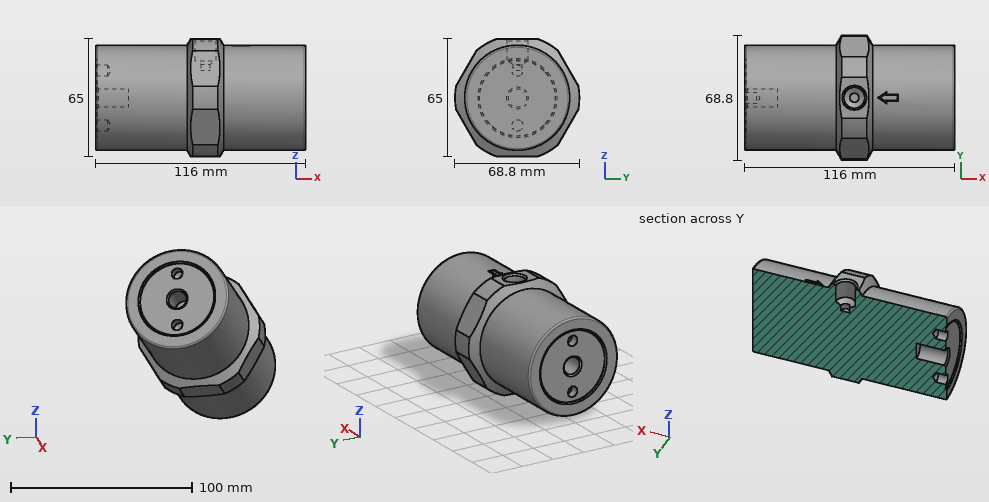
import cadquery as cq
import math

body_length = 116
body_diameter = 58
rim_fillet = 1.0
left_end = -body_length / 2
body_radius = body_diameter / 2

collar_center = 2.5
collar_width = 20.2
collar_diameter = 68.8
hex_across_flats = 65
hex_across_corners = hex_across_flats / math.cos(math.radians(30))
collar_cone_angle = 30

plug_diameter = 41.8
recess_depth = 0.7
recess_chamfer = 0.8
plug_gap = 0.2
plug_face = left_end + recess_depth

center_hole_diameter = 10.1
center_hole_depth = 17.4
center_hole_chamfer = 0.9
pin_hole_diameter = 6.1
pin_hole_depth = 5.8
pin_hole_offset = 15.1
drill_point_angle = 118

port_diameter = 11.5
port_depth = 12.0
port_chamfer = 1.0
port_bore_diameter = 5.0
port_bore_depth = 3.5

arrow_tip = 15.5
arrow_length = 11.3
arrow_head_length = 4.9
arrow_head_half_width = 3.2
arrow_shaft_half_width = 1.9
arrow_line_width = 0.6
arrow_depth = 0.2


def cone_height(big_diameter, small_diameter=0.0):
    """Axial length of a drill point tapering between two diameters."""
    half_angle = math.radians(drill_point_angle / 2)
    return (big_diameter - small_diameter) / 2 / math.tan(half_angle)


def revolve_on_x(profile):
    """Solid of revolution about X from (x, radius) points."""
    return cq.Workplane("XY").polyline(profile).close().revolve(360, (0, 0, 0), (1, 0, 0))


def make_body():
    cylinder = cq.Workplane("YZ").workplane(offset=left_end).circle(body_radius).extrude(body_length)
    return cylinder.edges("%CIRCLE").fillet(rim_fillet)


def make_collar():
    """Hexagonal prism with flats facing +Z and -Z, trimmed by a double cone."""
    collar_left = collar_center - collar_width / 2
    collar_right = collar_center + collar_width / 2
    collar_radius = collar_diameter / 2
    cone_length = (collar_radius - body_radius) * math.tan(math.radians(collar_cone_angle))
    envelope = revolve_on_x([
        (collar_left, 0),
        (collar_left, body_radius),
        (collar_left + cone_length, collar_radius),
        (collar_right - cone_length, collar_radius),
        (collar_right, body_radius),
        (collar_right, 0),
    ])
    hexagon = (
        cq.Workplane("YZ")
        .workplane(offset=collar_left)
        .polygon(6, hex_across_corners)
        .extrude(collar_width)
    )
    return hexagon.intersect(envelope)


def recess_cutter():
    """Chamfered recess down to the plug face, with a ring groove around the plug."""
    plug_radius = plug_diameter / 2
    wall_radius = plug_radius + plug_gap
    return revolve_on_x([
        (left_end, 0),
        (left_end, wall_radius + recess_chamfer),
        (left_end + recess_chamfer, wall_radius),
        (left_end + recess_chamfer, plug_radius),
        (plug_face, plug_radius),
        (plug_face, 0),
    ])


def center_hole_cutter():
    radius = center_hole_diameter / 2
    return revolve_on_x([
        (plug_face, 0),
        (plug_face, radius + center_hole_chamfer),
        (plug_face + center_hole_chamfer, radius),
        (plug_face + center_hole_depth, radius),
        (plug_face + center_hole_depth, 0),
    ])


def pin_hole_cutter(z):
    shoulder = plug_face + pin_hole_depth
    radius = pin_hole_diameter / 2
    return revolve_on_x([
        (plug_face, 0),
        (plug_face, radius),
        (shoulder, radius),
        (shoulder + cone_height(pin_hole_diameter), 0),
    ]).translate((0, 0, z))


def port_cutter():
    """Chamfered port whose conical floor leads into a smaller bore."""
    top = hex_across_flats / 2
    radius = port_diameter / 2
    bore_radius = port_bore_diameter / 2
    shoulder = top - port_depth
    bore_top = shoulder - cone_height(port_diameter, port_bore_diameter)
    bore_floor = bore_top - port_bore_depth
    profile = [
        (0, top),
        (radius + port_chamfer, top),
        (radius, top - port_chamfer),
        (radius, shoulder),
        (bore_radius, bore_top),
        (bore_radius, bore_floor),
        (0, bore_floor),
    ]
    port = cq.Workplane("XZ").polyline(profile).close().revolve(360, (0, 0, 0), (0, 1, 0))
    return port.translate((collar_center, 0, 0))


def arrow_cutter():
    """Outline of an arrow pointing to the port, following the body surface."""
    head_back = arrow_tip + arrow_head_length
    tail = arrow_tip + arrow_length
    corners = [
        (arrow_tip, 0),
        (head_back, arrow_head_half_width),
        (head_back, arrow_shaft_half_width),
        (tail, arrow_shaft_half_width),
        (tail, -arrow_shaft_half_width),
        (head_back, -arrow_shaft_half_width),
        (head_back, -arrow_head_half_width),
    ]
    outer = cq.Workplane("XY").polyline(corners).close().extrude(body_diameter)
    inner = cq.Workplane("XY").polyline(corners).close().offset2D(-arrow_line_width).extrude(body_diameter)
    core = cq.Workplane("YZ").circle(body_radius - arrow_depth).extrude(body_length)
    return outer.cut(inner).cut(core)


result = make_body().union(make_collar())
result = result.cut(recess_cutter()).cut(center_hole_cutter())
for pin_z in (-pin_hole_offset, pin_hole_offset):
    result = result.cut(pin_hole_cutter(pin_z))
result = result.cut(port_cutter()).cut(arrow_cutter())